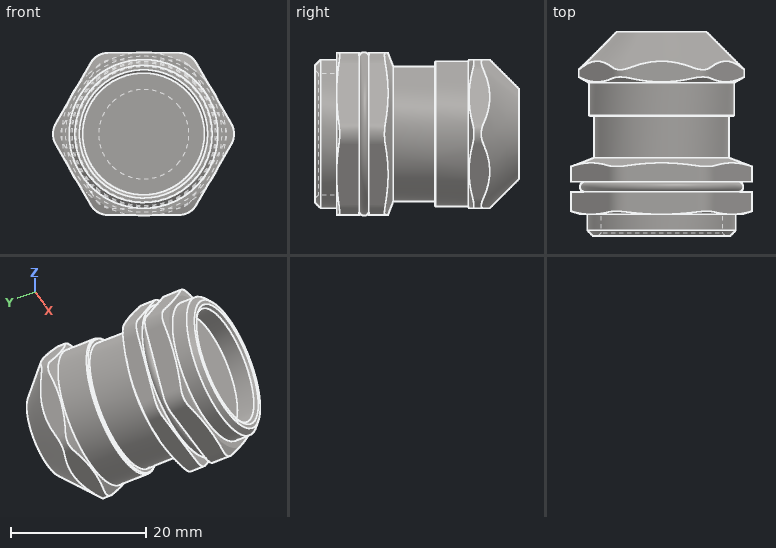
import cadquery as cq
import math


LENGTH = 30.2
FRONT_HEX_START = 3.23
RING_START = 6.55
RING_END = 8.0
REAR_HEX_END = 11.6
COLLAR_START = 17.7
CAP_START = 22.65

SPIGOT_RADIUS = 22.0 / 2
SPIGOT_CHAMFER = 0.85
BORE_RADIUS = 18.0 / 2
BORE_CHAMFER = 0.48
BORE_DEPTH = 3.23

BODY_RADIUS = 20.0 / 2
COLLAR_RADIUS = 21.5 / 2
COLLAR_CHAMFER = 0.18
RING_RADIUS = 24.2 / 2
RING_BULGE = 0.55

HEX_FLATS = 24.0
HEX_CORNER_FILLET = 3.02
FRONT_CHAMFER_ANGLE = 17.5
REAR_CHAMFER_ANGLE = 21.0

CAP_FLATS = 22.0
CAP_CORNER_FILLET = 2.87
CAP_CHAMFER_ANGLE = 30.0
DOME_TIP_RADIUS = 6.65
DOME_ANGLE = 45.0


def revolve_profile(points):
    """Revolve a closed (radius, Y) profile around the Y axis."""
    return cq.Workplane("XY").polyline(points).close().revolve(360, (0, 0), (0, 1))


def cylinder(radius, start, end):
    return revolve_profile([(0, start), (radius, start), (radius, end), (0, end)])


def corner_radius(flats):
    """Distance from the axis to a sharp hexagon corner."""
    return flats / 2 / math.cos(math.radians(30))


def cone_rise(inner, outer, angle):
    """Axial length of a cone between two radii, angled from the radial plane."""
    return (outer - inner) * math.tan(math.radians(angle))


def hexagon(flats, fillet, start, end):
    """Hexagonal prism with rounded corners on +X and -X and flats on +Z and -Z."""
    prism = (
        cq.Workplane("XZ", origin=(0, start, 0))
        .polygon(6, 2 * corner_radius(flats))
        .extrude(start - end)
    )
    return prism.edges("|Y").fillet(fillet)


def make_spigot():
    spigot = cylinder(SPIGOT_RADIUS, 0, FRONT_HEX_START)
    return spigot.faces("<Y").edges().chamfer(SPIGOT_CHAMFER)


def make_front_hex():
    outer = corner_radius(HEX_FLATS)
    inner = HEX_FLATS / 2
    rise = cone_rise(inner, outer, FRONT_CHAMFER_ANGLE)
    envelope = revolve_profile([
        (0, FRONT_HEX_START),
        (inner, FRONT_HEX_START),
        (outer, FRONT_HEX_START + rise),
        (outer, RING_START),
        (0, RING_START),
    ])
    return hexagon(HEX_FLATS, HEX_CORNER_FILLET, FRONT_HEX_START, RING_START).intersect(envelope)


def make_rear_hex():
    outer = corner_radius(HEX_FLATS)
    rise = cone_rise(BODY_RADIUS, outer, REAR_CHAMFER_ANGLE)
    envelope = revolve_profile([
        (0, RING_END),
        (outer, RING_END),
        (outer, REAR_HEX_END - rise),
        (BODY_RADIUS, REAR_HEX_END),
        (0, REAR_HEX_END),
    ])
    return hexagon(HEX_FLATS, HEX_CORNER_FILLET, RING_END, REAR_HEX_END).intersect(envelope)


def make_ring():
    """Sealing ring with a bulging round rim, filled through to the axis."""
    rim_edge = RING_RADIUS - RING_BULGE
    return (
        cq.Workplane("XY")
        .moveTo(0, RING_START)
        .lineTo(rim_edge, RING_START)
        .threePointArc((RING_RADIUS, (RING_START + RING_END) / 2), (rim_edge, RING_END))
        .lineTo(0, RING_END)
        .close()
        .revolve(360, (0, 0), (0, 1))
    )


def make_collar():
    collar = cylinder(COLLAR_RADIUS, COLLAR_START, CAP_START)
    return collar.faces("<Y").edges().chamfer(COLLAR_CHAMFER)


def make_cap():
    outer = corner_radius(CAP_FLATS)
    front_rise = cone_rise(COLLAR_RADIUS, outer, CAP_CHAMFER_ANGLE)
    dome_rise = cone_rise(DOME_TIP_RADIUS, outer, DOME_ANGLE)
    envelope = revolve_profile([
        (0, CAP_START),
        (COLLAR_RADIUS, CAP_START),
        (outer, CAP_START + front_rise),
        (outer, LENGTH - dome_rise),
        (DOME_TIP_RADIUS, LENGTH),
        (0, LENGTH),
    ])
    return hexagon(CAP_FLATS, CAP_CORNER_FILLET, CAP_START, LENGTH).intersect(envelope)


def make_bore():
    """Blind bore with a 45 degree lead-in at its mouth."""
    return revolve_profile([
        (0, 0),
        (BORE_RADIUS + BORE_CHAMFER, 0),
        (BORE_RADIUS, BORE_CHAMFER),
        (BORE_RADIUS, BORE_DEPTH),
        (0, BORE_DEPTH),
    ])


result = (
    make_spigot()
    .union(make_front_hex())
    .union(make_ring())
    .union(make_rear_hex())
    .union(cylinder(BODY_RADIUS, REAR_HEX_END, COLLAR_START))
    .union(make_collar())
    .union(make_cap())
    .cut(make_bore())
)